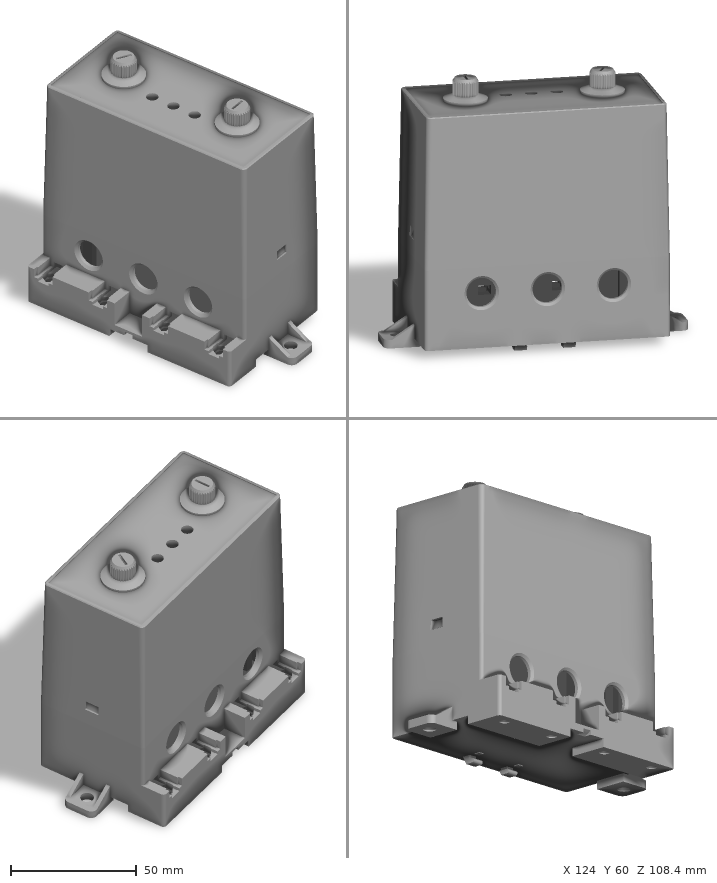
import cadquery as cq

overall_length = 124.0
body_length = 100.0
body_depth = 50.0
body_y = 1.6
overall_height = 108.4
body_bottom = 3.5
seam_z = 36.6
cover_top = 99.2
corner_radius = 1.5
wall = 2.5
back_y = body_y + body_depth / 2
face_y = body_y - body_depth / 2
cavity_length = body_length - 2 * wall
floor_z = body_bottom + wall

block_top = 17.0
block_reach = 10.0
block_front = face_y - block_reach
block_back = -16.0
recess_width = 13.5
recess_floor = 6.5
rail_notch_width = 18.8
pry_width = 4.2
pry_height = 1.7
pry_depth = 3.5

terminal_xs = [-41.9, -15.0, 15.0, 41.9]
terminal_y = face_y - block_reach / 2
slot_width = 7.9
slot_floor = 13.1
mouth_width = 9.0
mouth_depth = 1.9
groove_width = 5.2
groove_floor = 11.8
wire_port_top = 15.6
nut_across_corners = 6.7
nut_floor = 9.9
nut_turn = 30
screw_hole = 4.2

cable_pitch = 26.9
cable_hole = 12.0
cable_chamfer = 1.0
cable_z = 26.0

post_inner_x = 40.7
post_outer_x = 44.1
post_front = -11.2
post_step = -8.2
post_back = -5.1
web_inner_x = 36.5

ear_width = 14.6
ear_corner = 2.7
ear_hole = 5.5
ear_hole_x = 55.4
ear_rib_width = 1.9
ear_rib_end = 59.1
ear_rib_top = 9.2

hook_lip_x = 7.5
hook_stem_x = 8.9
hook_outer_x = 12.4
hook_tip_height = 1.9
hook_tip_front = 17.2
hook_tip_bend = 18.1
hook_stem_front = 19.6
hook_heel_back = 21.5
hook_back = 23.3
stop_inner_x = 9.9
stop_front = 14.3
stop_length = 2.6
stop_height = 0.4

tongue_width = 6.5
tongue_bottom = 29.8
window_bottom = 43.6
window_top = 47.9
barb_reach = 1.6
barb_clearance = 0.4

cover_top_length = 98.0
cover_top_depth = 48.0
cover_top_radius = 2.0
cover_edge = 0.4
cover_plate = 5.0
panel_margin = 1.5
panel_depth = 0.4
led_hole = 5.0
led_pitch = 10.4
led_y = -3.1

knob_x = 27.9
knob_angles = [-30, 0]
flange_radius = 8.9
flange_rim = 1.1
skirt_height = 2.6
grip_radius = 5.2
knob_top_radius = 4.3
knob_height = overall_height - (cover_top - panel_depth)
knob_bevel = 1.5
flute_count = 30
flute_radius = 0.31
pointer_width = 1.1
pointer_length = 6.7
pointer_depth = 1.0


def box(x0, x1, y0, y1, z0, z1):
    """Box between two opposite corners."""
    return cq.Workplane("XY").box(x1 - x0, y1 - y0, z1 - z0, centered=False).translate((x0, y0, z0))


def centred_box(x, width, y0, y1, z0, z1):
    """Box with its width centred on x."""
    return box(x - width / 2, x + width / 2, y0, y1, z0, z1)


def both_ends(shape):
    """A shape at the +X end together with its mirror image at the -X end."""
    return shape.union(shape.mirror("YZ"))


def profile_along_x(points, x, length):
    """Outline of (y, z) points extruded from x towards +X."""
    return cq.Workplane("YZ").polyline(points).close().extrude(length).translate((x, 0, 0))


def profile_along_y(points, y, length):
    """Outline of (x, z) points extruded from y towards +Y."""
    return cq.Workplane("XZ").polyline(points).close().extrude(-length).translate((0, y, 0))


def make_shell():
    """Hollow base with the terminal block in front."""
    half = body_length / 2
    body = box(-half, half, face_y, back_y, body_bottom, seam_z).edges("|Z").fillet(corner_radius)
    block = box(-half, half, block_front, block_back, 0, block_top)
    block = block.edges("|Z and <Y").fillet(corner_radius)
    joint = box(-half, half, block_front + block_reach / 2, block_back, body_bottom, block_top)
    cavity = centred_box(0, cavity_length, face_y + wall, back_y - wall, floor_z, seam_z)
    return body.union(block).union(joint).cut(cavity)


def block_cutouts():
    """Centre recess, rail notch and sloping pry slot of the terminal block."""
    recess = centred_box(0, recess_width, block_front, face_y, recess_floor, block_top)
    notch = centred_box(0, rail_notch_width, block_front, block_back, 0, body_bottom)
    pry_points = [
        (block_front, body_bottom),
        (block_front, body_bottom + pry_height),
        (block_front + pry_depth, body_bottom),
    ]
    pry_slot = profile_along_x(pry_points, -pry_width / 2, pry_width)
    return recess.union(notch).union(pry_slot)


def terminal_cutout(x):
    """Stepped screw-terminal slot with its nut pocket, screw hole and wire port."""
    slot = centred_box(x, slot_width, block_front, face_y, slot_floor, block_top)
    mouth = centred_box(x, mouth_width, block_front, block_front + mouth_depth, slot_floor, block_top)
    groove = centred_box(x, groove_width, block_front, face_y, groove_floor, slot_floor)
    port = centred_box(x, groove_width, face_y, face_y + wall, groove_floor, wire_port_top)
    nut = cq.Workplane("XY").polygon(6, nut_across_corners).extrude(slot_floor - nut_floor)
    nut = nut.rotate((0, 0, 0), (0, 0, 1), nut_turn).translate((x, terminal_y, nut_floor))
    screw = cq.Workplane("XY").circle(screw_hole / 2).extrude(slot_floor).translate((x, terminal_y, 0))
    return slot.union(mouth).union(groove).union(port).union(nut).union(screw)


def cable_opening(x):
    """Round opening through both long walls, chamfered on the outside."""
    radius = cable_hole / 2
    half_section = [
        (0, face_y),
        (radius + cable_chamfer, face_y),
        (radius, face_y + cable_chamfer),
        (radius, back_y - cable_chamfer),
        (radius + cable_chamfer, back_y),
        (0, back_y),
    ]
    opening = cq.Workplane("XY").polyline(half_section).close().revolve(360, (0, 0, 0), (0, 1, 0))
    return opening.translate((x, 0, cable_z))


def inner_post():
    """L-shaped post standing on the floor at the +X end."""
    leg = box(post_inner_x, post_outer_x, post_front, post_back, floor_z, seam_z)
    web = box(web_inner_x, post_inner_x, post_step, post_back, floor_z, seam_z)
    return leg.union(web)


def mounting_ear():
    """Ear at the +X end: rounded plate with a hole and two sloping ribs."""
    half = body_length / 2
    tip = overall_length / 2
    plate = box(half - wall, tip, -ear_width / 2, ear_width / 2, 0, body_bottom)
    plate = plate.edges("|Z and >X").fillet(ear_corner)
    hole = cq.Workplane("XY").circle(ear_hole / 2).extrude(body_bottom).translate((ear_hole_x, 0, 0))
    ear = plate.cut(hole)
    rib_points = [
        (half - wall / 2, body_bottom),
        (ear_rib_end, body_bottom),
        (half, ear_rib_top),
        (half - wall / 2, ear_rib_top),
    ]
    for rib_y in (-ear_width / 2, ear_width / 2 - ear_rib_width):
        ear = ear.union(profile_along_y(rib_points, rib_y, ear_rib_width))
    return ear


def rail_hook():
    """Round-tipped hook on the +X side whose low lip reaches inward past its stem."""
    hook = (
        cq.Workplane("YZ", origin=(hook_lip_x, 0, 0))
        .moveTo(hook_back, body_bottom)
        .lineTo(hook_heel_back, 0)
        .lineTo(hook_tip_bend, 0)
        .threePointArc((hook_tip_front, hook_tip_height / 2), (hook_tip_bend, hook_tip_height))
        .lineTo(hook_stem_front, hook_tip_height)
        .lineTo(hook_stem_front, body_bottom)
        .close()
        .extrude(hook_outer_x - hook_lip_x)
    )
    above_lip = box(hook_lip_x, hook_stem_x, hook_tip_front, hook_back, hook_tip_height, body_bottom)
    return hook.cut(above_lip)


def rail_stop():
    """Low pad on the +X side just ahead of the rail hook."""
    pad_bottom = body_bottom - stop_height
    stop_back = stop_front + stop_length
    return box(stop_inner_x, hook_outer_x, stop_front, stop_back, pad_bottom, body_bottom)


def snap_tongue():
    """Tongue rising inside the +X cover wall, with a sloping barb in the window."""
    outer_x = cavity_length / 2
    tongue = box(outer_x - wall, outer_x, body_y - tongue_width / 2, body_y + tongue_width / 2,
                 tongue_bottom, window_top)
    barb_bottom = window_bottom + barb_clearance
    barb_points = [
        (outer_x, barb_bottom),
        (outer_x + barb_reach, barb_bottom),
        (outer_x, window_top - barb_clearance),
    ]
    return tongue.union(profile_along_y(barb_points, body_y - tongue_width / 2, tongue_width))


def make_base():
    """Base with its terminals, cable openings, ears, rail hooks and snap tongues."""
    base = make_shell().cut(block_cutouts())
    for x in terminal_xs:
        base = base.cut(terminal_cutout(x))
    for x in (-cable_pitch, 0, cable_pitch):
        base = base.cut(cable_opening(x))
    for feature in (inner_post(), mounting_ear(), rail_hook(), rail_stop(), snap_tongue()):
        base = base.union(both_ends(feature))
    return base


def hood_section(inset, radius, z):
    """Rounded rectangle at height z, inset from the top outline of the cover."""
    outline = cq.Sketch().rect(cover_top_length - 2 * inset, cover_top_depth - 2 * inset)
    return outline.vertices().fillet(radius).moved(cq.Location(cq.Vector(0, body_y, z)))


def make_cover():
    """Tapered hood with a recessed top panel, indicator holes and snap windows."""
    draft = (cover_top_length - body_length) / 2
    shoulder_z = cover_top - cover_edge
    foot = hood_section(draft, corner_radius, seam_z)
    shoulder = hood_section(0, cover_top_radius, shoulder_z)
    rim = hood_section(cover_edge, cover_top_radius - cover_edge, cover_top)
    cover = cq.Workplane("XY").placeSketch(foot, shoulder).loft(ruled=True)
    cover = cover.union(cq.Workplane("XY").placeSketch(shoulder, rim).loft(ruled=True))
    cavity = centred_box(0, cavity_length, face_y + wall, back_y - wall, seam_z, cover_top - cover_plate)
    panel = cq.Workplane("XY").rect(cover_top_length - 2 * panel_margin, cover_top_depth - 2 * panel_margin)
    panel = panel.extrude(panel_depth).translate((0, body_y, cover_top - panel_depth))
    window = centred_box(0, body_length, body_y - tongue_width / 2, body_y + tongue_width / 2,
                         window_bottom, window_top)
    cover = cover.cut(cavity).cut(panel).cut(window)
    for x in (-led_pitch, 0, led_pitch):
        hole = cq.Workplane("XY").circle(led_hole / 2).extrude(cover_plate)
        cover = cover.cut(hole.translate((x, led_y, cover_top - cover_plate)))
    return cover


def make_knob(x, angle):
    """Fluted knob with a conical skirt and a pointer slot, turned by the given angle."""
    knob = (
        cq.Workplane("XZ")
        .lineTo(flange_radius, 0)
        .lineTo(flange_radius, flange_rim)
        .lineTo(grip_radius, skirt_height)
        .lineTo(grip_radius, knob_height - knob_bevel)
        .lineTo(knob_top_radius, knob_height)
        .lineTo(0, knob_height)
        .close()
        .revolve(360, (0, 0, 0), (0, 1, 0))
    )
    flutes = (
        cq.Workplane("XY")
        .polarArray(grip_radius, 0, 360, flute_count)
        .circle(flute_radius)
        .extrude(knob_height - skirt_height)
        .translate((0, 0, skirt_height))
    )
    pointer = centred_box(0, pointer_width, -pointer_length / 2, pointer_length / 2,
                          knob_height - pointer_depth, knob_height)
    knob = knob.cut(flutes).cut(pointer)
    seat_z = cover_top - panel_depth
    return knob.rotate((0, 0, 0), (0, 0, 1), angle).translate((x, body_y, seat_z))


base = make_base()
cover = make_cover()
knobs = [make_knob(x, angle) for x, angle in zip((-knob_x, knob_x), knob_angles)]

result = cq.Compound.makeCompound([base.val(), cover.val(), *[knob.val() for knob in knobs]])